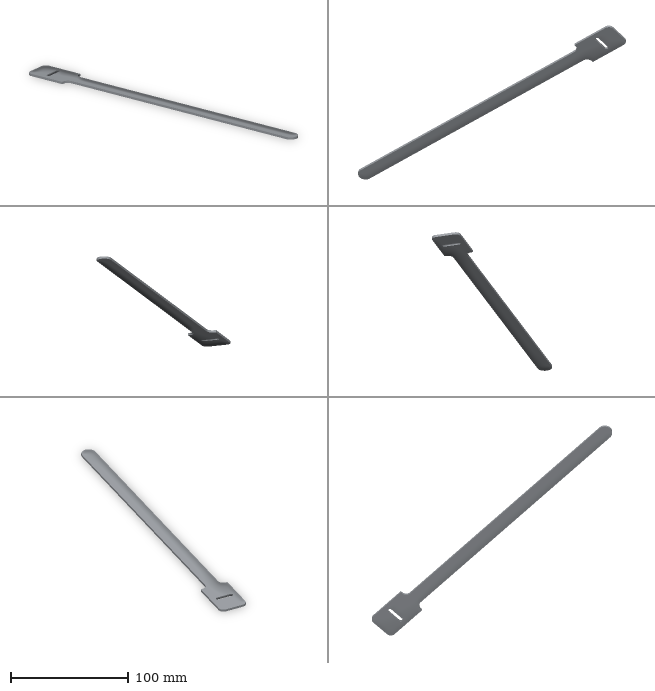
import cadquery as cq

total_length = 279.5
thickness = 2.05

head_length = 38.0
head_width = 25.5
head_corner_radius = 4.5
slot_offset = 18.5
slot_length = 16.2
slot_width = 3.4

tail_width = 12.5
neck_radius = 5.0
tip_length = 5.5


def make_head():
    """Flat head with rounded corners on its free end."""
    head = cq.Workplane("XY").box(head_length, head_width, thickness, centered=(False, True, False))
    return head.edges("|Z and <X").fillet(head_corner_radius)


def make_tail():
    """Long strip that starts inside the head and ends in an arc."""
    half_width = tail_width / 2
    arc_start = total_length - tip_length
    return (
        cq.Workplane("XY")
        .moveTo(slot_offset, -half_width)
        .lineTo(arc_start, -half_width)
        .threePointArc((total_length, 0), (arc_start, half_width))
        .lineTo(slot_offset, half_width)
        .close()
        .extrude(thickness)
    )


def round_neck(body):
    """Fillet the two inside corners where the tail leaves the head."""
    neck_corners = cq.selectors.BoxSelector(
        (head_length - neck_radius / 2, -tail_width, -thickness),
        (head_length + neck_radius / 2, tail_width, 2 * thickness),
    )
    return body.edges("|Z").edges(neck_corners).fillet(neck_radius)


def make_slot():
    """Round-ended slot across the head."""
    return (
        cq.Workplane("XY")
        .center(slot_offset, 0)
        .slot2D(slot_length, slot_width, 90)
        .extrude(thickness)
    )


result = round_neck(make_head().union(make_tail())).cut(make_slot())